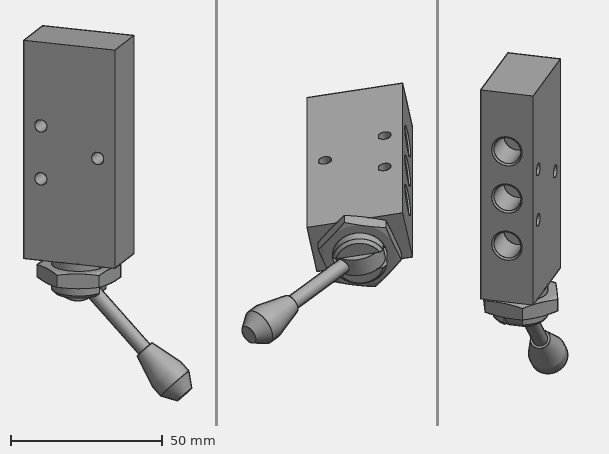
import cadquery as cq
import math


block_width = 32.0
block_depth = 18.0
block_height = 75.0
top_section_height = 7.1
bottom_section_height = 5.8

mount_hole_diameter = 4.2
mount_hole_inset = 6.0
mount_hole_pitch = 18.1
port_diameter = 9.2
port_mouth_diameter = 10.4
port_depth = 12.1
port_pitch = 16.9
port_chamfer = (port_mouth_diameter - port_diameter) / 2
ports_center_z = 37.1

neck_diameter = block_depth
neck_length = 12.1
neck_chamfer = 1.1
slot_width = 6.3
slot_ceiling_z = -0.6

nut_across_flats = 24.0
nut_top_z = -2.5
nut_height = 5.1
nut_corner_angle = 19.0
nut_chamfer_angle = 15.0

pivot_z = -6.5
hub_radius = 8.0
lever_angle = 45.0
rod_diameter = 5.0
knob_start = 32.6
knob_belt_start = 43.7
knob_belt_end = 47.6
knob_end = 52.5
knob_neck_diameter = 6.7
knob_belt_diameter = 12.5
knob_tip_diameter = 6.4


def make_block():
    """Block in three stacked sections, keeping the seams on its flush faces."""
    middle_height = block_height - top_section_height - bottom_section_height
    base_z = 0
    block = None
    for height in (bottom_section_height, middle_height, top_section_height):
        section = (
            cq.Workplane("XY", origin=(0, 0, base_z))
            .rect(block_width, block_depth)
            .extrude(height)
        )
        block = section if block is None else block.union(section, clean=False)
        base_z += height
    return block


def make_neck():
    return (
        cq.Workplane("XY")
        .circle(neck_diameter / 2)
        .extrude(-neck_length)
        .faces("<Z")
        .chamfer(neck_chamfer)
    )


def make_mount_holes():
    """Through-holes: two on the port side, one midway between them on the other side."""
    hole_x = block_width / 2 - mount_hole_inset
    half_pitch = mount_hole_pitch / 2
    centers = [(-hole_x, -half_pitch), (-hole_x, half_pitch), (hole_x, 0)]
    return (
        cq.Workplane("XZ", origin=(0, 0, ports_center_z))
        .pushPoints(centers)
        .circle(mount_hole_diameter / 2)
        .extrude(block_depth, both=True)
    )


def make_port(center_z):
    """Blind port with a chamfered mouth, entering from the -X face."""
    profile = [
        (0, 0),
        (0, port_mouth_diameter / 2),
        (port_chamfer, port_diameter / 2),
        (port_depth, port_diameter / 2),
        (port_depth, 0),
    ]
    return (
        cq.Workplane("XY", origin=(-block_width / 2, 0, center_z))
        .polyline(profile)
        .close()
        .revolve(360, (0, 0, 0), (1, 0, 0))
    )


def make_hub():
    """Pivot disc of the lever, which fills its pocket in the neck."""
    return (
        cq.Workplane("XZ", origin=(0, 0, pivot_z))
        .circle(hub_radius)
        .extrude(slot_width / 2, both=True)
    )


def make_slot():
    """Slot through the neck along X, open at the bottom."""
    slot_height = neck_length + slot_ceiling_z
    return cq.Workplane("XY", origin=(0, 0, slot_ceiling_z - slot_height / 2)).box(
        neck_diameter, slot_width, slot_height
    )


def make_housing():
    housing = make_block().union(make_neck(), clean=False)
    housing = housing.cut(make_mount_holes(), clean=False)
    for step in (-1, 0, 1):
        port = make_port(ports_center_z + step * port_pitch)
        housing = housing.cut(port, clean=False)
    return housing.cut(make_slot(), clean=False).cut(make_hub(), clean=False)


def make_nut():
    """Hexagon nut with its corners turned down on both faces."""
    corner_radius = nut_across_flats / math.sqrt(3)
    flat_radius = nut_across_flats / 2
    corner_drop = (corner_radius - flat_radius) * math.tan(math.radians(nut_chamfer_angle))
    hexagon = (
        cq.Workplane("XY")
        .polygon(6, 2 * corner_radius)
        .extrude(nut_height)
        .rotate((0, 0, 0), (0, 0, 1), nut_corner_angle)
    )
    turned_profile = [
        (neck_diameter / 2, 0),
        (flat_radius, 0),
        (corner_radius, corner_drop),
        (corner_radius, nut_height - corner_drop),
        (flat_radius, nut_height),
        (neck_diameter / 2, nut_height),
    ]
    turned = cq.Workplane("XZ").polyline(turned_profile).close().revolve(360, (0, 0, 0), (0, 1, 0))
    return hexagon.intersect(turned).translate((0, 0, nut_top_z - nut_height))


def make_lever():
    """Pivot disc, rod and knob; the rod leans from straight down toward +X."""
    profile = [
        (0, 0),
        (rod_diameter / 2, 0),
        (rod_diameter / 2, -knob_start),
        (knob_neck_diameter / 2, -knob_start),
        (knob_belt_diameter / 2, -knob_belt_start),
        (knob_belt_diameter / 2, -knob_belt_end),
        (knob_tip_diameter / 2, -knob_end),
        (0, -knob_end),
    ]
    rod_and_knob = (
        cq.Workplane("XZ")
        .polyline(profile)
        .close()
        .revolve(360, (0, 0, 0), (0, 1, 0))
        .rotate((0, 0, 0), (0, 1, 0), -lever_angle)
        .translate((0, 0, pivot_z))
    )
    return make_hub().union(rod_and_knob)


housing = make_housing()
nut = make_nut()
lever = make_lever()

result = cq.Compound.makeCompound([housing.solids().val(), nut.solids().val(), lever.solids().val()])